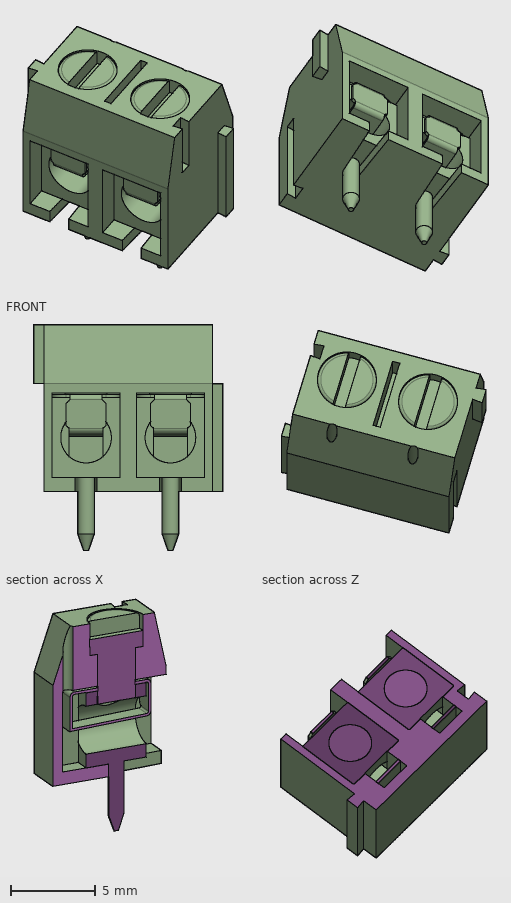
import cadquery as cq


POLE_PITCH = 5.0
POLE_X = (-POLE_PITCH / 2, POLE_PITCH / 2)
HOUSING_WIDTH = 2 * POLE_PITCH
HOUSING_DEPTH = 7.5
HOUSING_HEIGHT = 9.9
OVERALL_HEIGHT = 13.4
SHOULDER_Z = 6.4
FRONT_SETBACK = 0.78
BACK_SETBACK = 1.25
SCREW_Y = 3.3

CAVITY_WIDTH = 4.0
CAVITY_FLOOR_Z = 0.83
CAVITY_TOP_Z = 5.84
CAVITY_BACK_Y = 5.32
CHANNEL_WIDTH = 2.0
CHANNEL_BACK_Y = 6.83
TEST_HOLE_DIAMETER = 0.6
TEST_HOLE_Y = 6.5
FLOOR_SLOT_WIDTH = 1.3

DOVETAIL_DEPTH = 0.6
DOVETAIL_ROOT = 0.74
DOVETAIL_TIP = 0.86
FRONT_DOVETAIL_Y = 2.05
BACK_DOVETAIL_Y = 6.15

DIVIDER_WIDTH = 0.44
DIVIDER_LENGTH = 4.18
DIVIDER_Y = 3.52
DIVIDER_DEPTH = 2.01

BLOCK_FRONT_Y = 1.31
BLOCK_TOP_Z = 5.57
BLOCK_DEPTH = CAVITY_BACK_Y - BLOCK_FRONT_Y
BLOCK_HEIGHT = BLOCK_TOP_Z - CAVITY_FLOOR_Z
WIRE_HOLE_DIAMETER = 3.0
WIRE_HOLE_Z = CAVITY_FLOOR_Z + BLOCK_HEIGHT / 2
PIN_DIAMETER = 1.0
PIN_TIP_DIAMETER = 0.3
PIN_TIP_LENGTH = 1.0
PIN_LENGTH = OVERALL_HEIGHT - HOUSING_HEIGHT

HEAD_DIAMETER = 3.5
HEAD_HEIGHT = 2.01
HEAD_FILLET = 0.2
DRIVE_SLOT_WIDTH = 0.75
DRIVE_SLOT_DEPTH = 1.0
SHANK_DIAMETER = 2.5
SHANK_END_Z = WIRE_HOLE_Z + WIRE_HOLE_DIAMETER / 2

SHEET = 0.19
GUARD_TOP_Z = BLOCK_TOP_Z + SHEET
GUARD_FRONT_Y = 1.0
GUARD_BACK_Y = 6.38
BEND_RADIUS = BLOCK_FRONT_Y - GUARD_FRONT_Y
PLATE_CORNER_RADIUS = 0.82
APRON_WIDTH = 2.36
NECK_WIDTH = 1.9
TONGUE_WIDTH = CHANNEL_WIDTH
NECK_CHAMFER = (APRON_WIDTH - NECK_WIDTH) / 2
TONGUE_CHAMFER = (APRON_WIDTH - TONGUE_WIDTH) / 2
TONGUE_FRONT_Z = 3.43
TONGUE_BACK_Z = 3.27


def box(x_size, y_range, z_range):
    """Box centred on X = 0 between two Y and two Z values."""
    y_size = y_range[1] - y_range[0]
    z_size = z_range[1] - z_range[0]
    return (
        cq.Workplane("XY")
        .box(x_size, y_size, z_size, centered=(True, False, False))
        .translate((0, y_range[0], z_range[0]))
    )


def post(diameter, y, z_range):
    """Upright cylinder on X = 0."""
    return (
        cq.Workplane("XY", origin=(0, y, z_range[0]))
        .circle(diameter / 2)
        .extrude(z_range[1] - z_range[0])
    )


def dovetail(root_x, y, z_range):
    """Upright dovetail that starts at root_x and widens towards +X."""
    tip_x = root_x + DOVETAIL_DEPTH
    return (
        cq.Workplane("XY", origin=(0, y, z_range[0]))
        .polyline([
            (root_x, -DOVETAIL_ROOT / 2),
            (tip_x, -DOVETAIL_TIP / 2),
            (tip_x, DOVETAIL_TIP / 2),
            (root_x, DOVETAIL_ROOT / 2),
        ])
        .close()
        .extrude(z_range[1] - z_range[0])
    )


def make_housing_blank():
    """Solid housing outline with leaning front and back faces."""
    return (
        cq.Workplane("YZ", origin=(-HOUSING_WIDTH / 2, 0, 0))
        .polyline([
            (0, 0),
            (HOUSING_DEPTH, 0),
            (HOUSING_DEPTH, SHOULDER_Z),
            (HOUSING_DEPTH - BACK_SETBACK, HOUSING_HEIGHT),
            (FRONT_SETBACK, HOUSING_HEIGHT),
            (0, SHOULDER_Z),
        ])
        .close()
        .extrude(HOUSING_WIDTH)
    )


def make_floor_slot():
    """Tapered slot in the floor that leads from the front face to the pin."""
    return (
        cq.Workplane("XY")
        .polyline([
            (-FLOOR_SLOT_WIDTH / 2, 0),
            (FLOOR_SLOT_WIDTH / 2, 0),
            (PIN_DIAMETER / 2, SCREW_Y),
            (-PIN_DIAMETER / 2, SCREW_Y),
        ])
        .close()
        .extrude(CAVITY_FLOOR_Z)
    )


def make_pole_cut():
    """Everything removed from the housing for one pole."""
    cavity = box(CAVITY_WIDTH, (0, CAVITY_BACK_Y), (CAVITY_FLOOR_Z, CAVITY_TOP_Z))
    channel = box(CHANNEL_WIDTH, (CAVITY_BACK_Y, CHANNEL_BACK_Y), (CAVITY_FLOOR_Z, CAVITY_TOP_Z))
    head_bore = post(HEAD_DIAMETER, SCREW_Y, (HOUSING_HEIGHT - HEAD_HEIGHT, HOUSING_HEIGHT))
    shank_bore = post(SHANK_DIAMETER, SCREW_Y, (CAVITY_TOP_Z, HOUSING_HEIGHT))
    test_hole = post(TEST_HOLE_DIAMETER, TEST_HOLE_Y, (CAVITY_TOP_Z, HOUSING_HEIGHT))
    pin_hole = post(PIN_DIAMETER, SCREW_Y, (0, CAVITY_FLOOR_Z))
    openings = cavity.union(channel).union(make_floor_slot())
    for hole in (head_bore, shank_bore, test_hole, pin_hole):
        openings = openings.union(hole)
    return openings


def make_housing():
    """Housing with joining ribs and grooves, the divider slot and the openings of both poles."""
    side_x = HOUSING_WIDTH / 2
    upper = (SHOULDER_Z, HOUSING_HEIGHT)
    lower = (0, SHOULDER_Z)
    body = make_housing_blank()

    body = body.cut(dovetail(side_x, FRONT_DOVETAIL_Y, upper).mirror("YZ", (side_x, 0, 0)))
    body = body.union(dovetail(side_x, FRONT_DOVETAIL_Y, upper).mirror("YZ"))
    body = body.cut(dovetail(-side_x, BACK_DOVETAIL_Y, lower))
    body = body.union(dovetail(side_x, BACK_DOVETAIL_Y, lower))

    divider_y = (DIVIDER_Y - DIVIDER_LENGTH / 2, DIVIDER_Y + DIVIDER_LENGTH / 2)
    body = body.cut(box(DIVIDER_WIDTH, divider_y, (HOUSING_HEIGHT - DIVIDER_DEPTH, HOUSING_HEIGHT)))
    for x in POLE_X:
        body = body.cut(make_pole_cut().translate((x, 0, 0)))
    return body


def make_contact(x):
    """Contact block with the wire hole, the screw thread and the pointed solder pin."""
    block = box(CAVITY_WIDTH, (BLOCK_FRONT_Y, CAVITY_BACK_Y), (CAVITY_FLOOR_Z, BLOCK_TOP_Z))
    wire_hole = (
        cq.Workplane("XZ", origin=(0, BLOCK_FRONT_Y, WIRE_HOLE_Z))
        .circle(WIRE_HOLE_DIAMETER / 2)
        .extrude(-BLOCK_DEPTH)
    )
    thread = post(SHANK_DIAMETER, SCREW_Y, (WIRE_HOLE_Z, BLOCK_TOP_Z))
    pin = (
        cq.Workplane("XZ", origin=(0, SCREW_Y, 0))
        .polyline([
            (0, CAVITY_FLOOR_Z),
            (PIN_DIAMETER / 2, CAVITY_FLOOR_Z),
            (PIN_DIAMETER / 2, PIN_TIP_LENGTH - PIN_LENGTH),
            (PIN_TIP_DIAMETER / 2, -PIN_LENGTH),
            (0, -PIN_LENGTH),
        ])
        .close()
        .revolve(360, (0, 0, 0), (0, 1, 0))
    )
    return block.cut(wire_hole).cut(thread).union(pin).translate((x, 0, 0))


def make_screw(x):
    """Slotted screw, its head flush with the top of the housing."""
    head = post(HEAD_DIAMETER, SCREW_Y, (HOUSING_HEIGHT - HEAD_HEIGHT, HOUSING_HEIGHT))
    head = head.faces(">Z").edges().fillet(HEAD_FILLET)
    slot_y = (SCREW_Y - HEAD_DIAMETER / 2, SCREW_Y + HEAD_DIAMETER / 2)
    slot = box(DRIVE_SLOT_WIDTH, slot_y, (HOUSING_HEIGHT - DRIVE_SLOT_DEPTH, HOUSING_HEIGHT))
    shank = post(SHANK_DIAMETER, SCREW_Y, (SHANK_END_Z, HOUSING_HEIGHT - HEAD_HEIGHT))
    return head.cut(slot).union(shank).translate((x, 0, 0))


def make_guard_plate():
    """Flat top of the wire guard that lies on the contact block."""
    plate = box(CAVITY_WIDTH, (BLOCK_FRONT_Y, CAVITY_BACK_Y), (BLOCK_TOP_Z, GUARD_TOP_Z))
    return plate.edges("|Z").fillet(PLATE_CORNER_RADIUS)


def make_guard_loop():
    """Bent strip seen from the side: plate, front apron, tongue through the wire hole and back."""
    envelope = (
        cq.Workplane("YZ", origin=(-APRON_WIDTH / 2, 0, 0))
        .polyline([
            (GUARD_FRONT_Y, TONGUE_FRONT_Z),
            (GUARD_BACK_Y, TONGUE_BACK_Z),
            (GUARD_BACK_Y, GUARD_TOP_Z),
            (GUARD_FRONT_Y, GUARD_TOP_Z),
        ])
        .close()
        .extrude(APRON_WIDTH)
        .edges("|X and (>Z or <Y)")
        .fillet(BEND_RADIUS)
    )
    return envelope.faces("|X").shell(-SHEET)


def make_guard_outline():
    """Width of the bent strip: in front a neck, apron and tongue with 45 degree shoulders, then constant."""
    neck_z = GUARD_TOP_Z - BEND_RADIUS
    tongue_z = TONGUE_FRONT_Z + BEND_RADIUS
    half_outline = [
        (NECK_WIDTH / 2, GUARD_TOP_Z),
        (NECK_WIDTH / 2, neck_z),
        (APRON_WIDTH / 2, neck_z - NECK_CHAMFER),
        (APRON_WIDTH / 2, tongue_z + TONGUE_CHAMFER),
        (TONGUE_WIDTH / 2, tongue_z),
        (TONGUE_WIDTH / 2, CAVITY_FLOOR_Z),
    ]
    other_half = [(-x, z) for x, z in reversed(half_outline)]
    apron = cq.Workplane("XZ").polyline(half_outline + other_half).close().extrude(-BLOCK_FRONT_Y)
    return apron.union(box(TONGUE_WIDTH, (BLOCK_FRONT_Y, GUARD_BACK_Y), (CAVITY_FLOOR_Z, GUARD_TOP_Z)))


def make_wire_guard(x):
    """One bent sheet looped through the contact block."""
    strip = make_guard_loop().intersect(make_guard_outline())
    screw_hole = post(SHANK_DIAMETER, SCREW_Y, (BLOCK_TOP_Z, GUARD_TOP_Z))
    return make_guard_plate().union(strip).cut(screw_hole).translate((x, 0, 0))


housing = make_housing().solids().val()
contacts = [make_contact(x).solids().val() for x in POLE_X]
screws = [make_screw(x).solids().val() for x in POLE_X]
wire_guards = [make_wire_guard(x).solids().val() for x in POLE_X]

result = cq.Compound.makeCompound([housing, *contacts, *screws, *wire_guards])